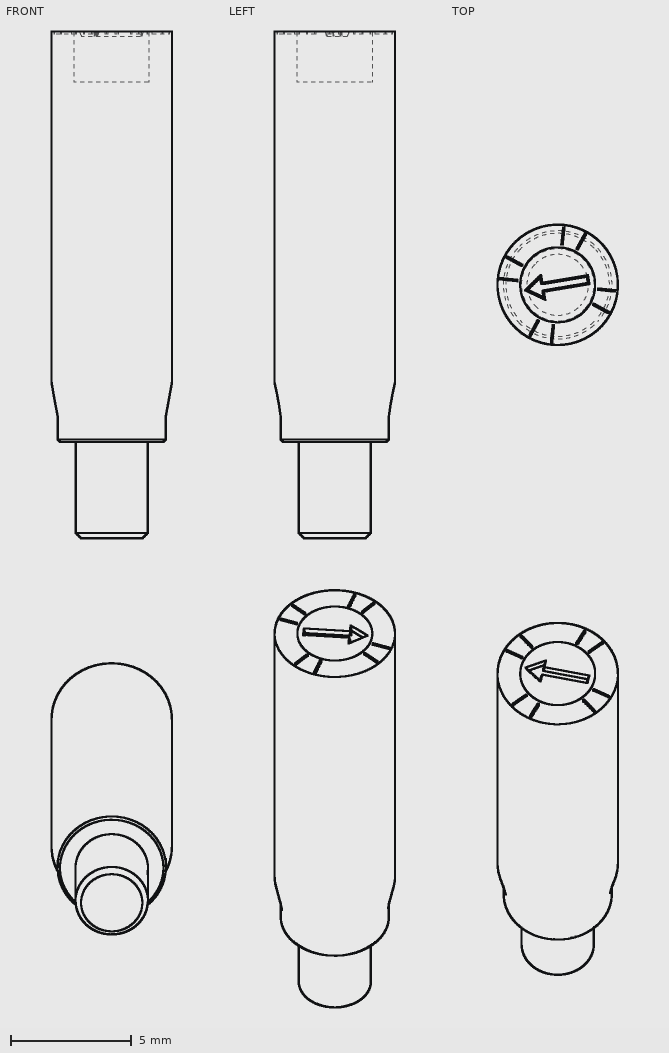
import cadquery as cq

TOTAL_HEIGHT = 21.0
PIN_LENGTH = 4.0
COLLAR_TOP = 5.06
TAPER_TOP = 6.45

HOUSING_DIAMETER = 5.0
COLLAR_DIAMETER = 4.5
DIAL_DIAMETER = 3.1
PIN_DIAMETER = 3.0

COLLAR_CHAMFER = 0.1
PIN_CHAMFER = 0.23
DIAL_THICKNESS = 2.1

TICK_DEPTH = 0.1
TICK_WIDTH = 0.06
TICK_INNER_RADIUS = 1.68
TICK_OUTER_RADIUS = 2.4
TICK_PAIR_COUNT = 4
TICK_ANGLE = 61.4
TICK_PAIR_SPREAD = 22.5

ARROW_ANGLE = 189.5
ARROW_TIP = 1.36
ARROW_HEAD_BACK = 0.6
ARROW_TAIL = -1.3
ARROW_HEAD_HALF_WIDTH = 0.52
ARROW_SHAFT_HALF_WIDTH = 0.19
ARROW_DEPTH = 0.2
ARROW_DRAFT = 16.0


def make_tick_cutter(angle):
    """Narrow radial bar that engraves one division mark."""
    length = TICK_OUTER_RADIUS - TICK_INNER_RADIUS
    return (
        cq.Workplane("XY", origin=(0, 0, TOTAL_HEIGHT - TICK_DEPTH))
        .center((TICK_INNER_RADIUS + TICK_OUTER_RADIUS) / 2, 0)
        .rect(length, TICK_WIDTH)
        .extrude(TICK_DEPTH)
        .rotate((0, 0, 0), (0, 0, 1), angle)
    )


def make_housing():
    """Round sleeve tapering to a collar, with a recess for the dial and division marks around it."""
    outer_radius = HOUSING_DIAMETER / 2
    collar_radius = COLLAR_DIAMETER / 2
    housing = (
        cq.Workplane("XZ")
        .moveTo(0, PIN_LENGTH)
        .lineTo(collar_radius - COLLAR_CHAMFER, PIN_LENGTH)
        .lineTo(collar_radius, PIN_LENGTH + COLLAR_CHAMFER)
        .lineTo(collar_radius, COLLAR_TOP)
        .lineTo(outer_radius, TAPER_TOP)
        .lineTo(outer_radius, TOTAL_HEIGHT)
        .lineTo(0, TOTAL_HEIGHT)
        .close()
        .revolve(360, (0, 0, 0), (0, 1, 0))
    )
    housing = housing.faces(">Z").workplane().hole(DIAL_DIAMETER, DIAL_THICKNESS)
    for pair in range(TICK_PAIR_COUNT):
        pair_angle = TICK_ANGLE + pair * 360 / TICK_PAIR_COUNT
        for angle in (pair_angle, pair_angle + TICK_PAIR_SPREAD):
            housing = housing.cut(make_tick_cutter(angle))
    return housing


def make_dial():
    """Round dial flush with the top of the housing, engraved with an arrow whose walls slope inward."""
    arrow = (
        cq.Workplane("XY", origin=(0, 0, TOTAL_HEIGHT))
        .moveTo(ARROW_TIP, 0)
        .lineTo(ARROW_HEAD_BACK, ARROW_HEAD_HALF_WIDTH)
        .lineTo(ARROW_HEAD_BACK, ARROW_SHAFT_HALF_WIDTH)
        .lineTo(ARROW_TAIL, ARROW_SHAFT_HALF_WIDTH)
        .lineTo(ARROW_TAIL, -ARROW_SHAFT_HALF_WIDTH)
        .lineTo(ARROW_HEAD_BACK, -ARROW_SHAFT_HALF_WIDTH)
        .lineTo(ARROW_HEAD_BACK, -ARROW_HEAD_HALF_WIDTH)
        .close()
        .extrude(-ARROW_DEPTH, taper=ARROW_DRAFT)
        .rotate((0, 0, 0), (0, 0, 1), ARROW_ANGLE)
    )
    return (
        cq.Workplane("XY", origin=(0, 0, TOTAL_HEIGHT - DIAL_THICKNESS))
        .circle(DIAL_DIAMETER / 2)
        .extrude(DIAL_THICKNESS)
        .cut(arrow)
    )


def make_pin():
    """Plain pin under the housing, chamfered at its tip."""
    return (
        cq.Workplane("XY")
        .circle(PIN_DIAMETER / 2)
        .extrude(PIN_LENGTH)
        .faces("<Z")
        .chamfer(PIN_CHAMFER)
    )


housing = make_housing()
dial = make_dial()
pin = make_pin()

result = cq.Compound.makeCompound([housing.val(), dial.val(), pin.val()])